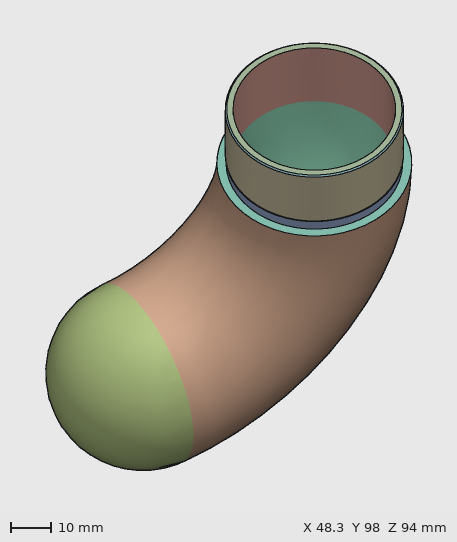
import cadquery as cq

tube_diameter = 48.3
bore_diameter = 40.3
spigot_diameter = 44.2
groove_diameter = 43.8
overall_length = 98.0
overall_height = 94.0
groove_height = 3.0
rim_chamfer = 0.4

bend_radius = overall_length - tube_diameter
spigot_height = overall_height - bend_radius - tube_diameter / 2


def quarter_bend(diameter):
    """Solid round bend that starts at the origin and curves down and toward -Y."""
    return (
        cq.Workplane("XY")
        .circle(diameter / 2)
        .revolve(90, (0, -bend_radius, 0), (-1, -bend_radius, 0))
    )


def dome():
    """Ball of the tube's diameter that closes the lower end of the bend."""
    return (
        cq.Workplane("XY")
        .sphere(tube_diameter / 2)
        .translate((0, -bend_radius, -bend_radius))
    )


def spigot():
    """Upright connecting sleeve with a shallow groove at its foot and a chamfered rim."""
    groove = cq.Workplane("XY").circle(groove_diameter / 2).extrude(groove_height)
    sleeve = (
        cq.Workplane("XY")
        .workplane(offset=groove_height)
        .circle(spigot_diameter / 2)
        .extrude(spigot_height - groove_height)
        .faces(">Z")
        .chamfer(rim_chamfer)
    )
    return groove.union(sleeve)


def bore():
    """Passage through the spigot and along the bend, ending where the dome begins."""
    straight = cq.Workplane("XY").circle(bore_diameter / 2).extrude(spigot_height)
    return straight.union(quarter_bend(bore_diameter))


elbow = quarter_bend(tube_diameter).union(dome()).union(spigot())
result = elbow.cut(bore())